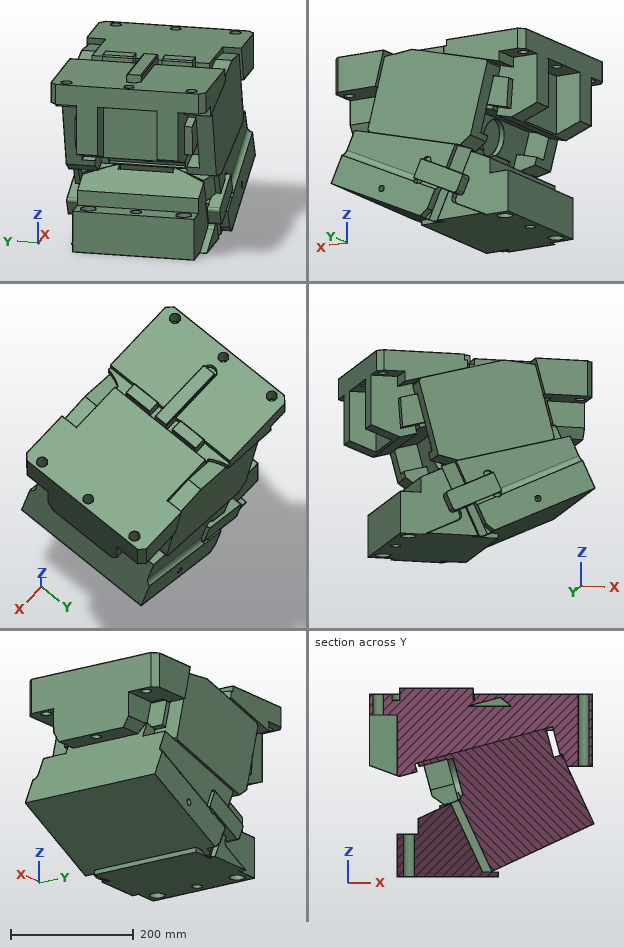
import cadquery as cq
import math


RAIL_ANGLE = 15
WORK_ANGLE = 25

PLATE_LENGTH = 365.0
PLATE_WIDTH = 260.0
PLATE_HALF_WIDTH = PLATE_WIDTH / 2
PLATE_TOP = 299.0
PLATE_CORNER = 10.0
THIN_BOTTOM = 265.0
THICK_BOTTOM = 240.0
SEAT_X = 45.2
POCKET_X = 151.5
POCKET_BEND_X = 156.5
POCKET_BEND_Y = 112.5
POCKET_CURVE = 12.0
PLATE_HOLE_RADIUS = 9.0
PLATE_DOWEL_RADIUS = 8.5
LEFT_HOLES_X = 14.5
LEFT_HOLES_Y = 105.2
RIGHT_HOLES_X = 350.5
RIGHT_HOLES_Y = 100.5

LEG_HALF_WIDTH = 85.5
LEG_RECESS_HALF_WIDTH = 50.0
LEFT_LEG_EDGE = 182.0
LEFT_LEG_TIP_X = 49.3
LEFT_LEG_END = 120.0
LEFT_LEG_BOTTOM = 145.5
RIGHT_LEG_START = 353.0
RIGHT_LEG_KNEE = 200.5
RIGHT_LEG_BOTTOM = 180.5
RIGHT_LEG_HALF_WIDTH = 75.0
RIGHT_LEG_CHAMFER = (10.3, 17.5)

LEDGE_LEVEL = 82.5
FOOT_TOP = 111.0
RAIL_BOTTOM = 159.3
RAIL_TOP = 208.0
NECK_TOP = 279.2
SIDE_PLATE_TOP = 228.0
RAIL_HALF_WIDTH = 98.5
RAIL_END_TOP_X = 46.5
RAIL_END_BOTTOM_X = 50.0

KEY_HEIGHT = 10.0
KEY_WIDTH = 25.0
KEY_CHAMFER = (1.0, 3.0)
GROOVE_X = 146.8
CROSS_KEY_WIDTH = 22.8
CROSS_KEY_INNER_Y = 24.5
CROSS_KEY_LENGTH = 50.8
CENTRE_KEY_START = 49.5
CENTRE_KEY_END = 170.0

SLIDE_START = 133.0
SIDE_PLATE_END = 333.3
POCKET_END = 335.5
CORE_START = 173.0
BLOCK_END = 342.0
SIDE_PLATE_PEAK = 283.2
SIDE_PLATE_END_TOP = 209.5
FRONT_FOOT_CHAMFER = (30.0, 15.5)
BACK_FOOT_CHAMFER = (15.5, 18.5)
SIDE_PLATE_CORNER = 3.3
SIDE_PLATE_HALF_WIDTH = 126.0
NECK_HALF_WIDTH = 77.2
CREST_RECESS_TOP = 95.3
CREST_RECESS_BACK = 189.8
CREST_RECESS_HALF_WIDTH = 64.0
SPRING_RADIUS = 31.3
SPRING_LEVEL = 120.3
SPRING_DEPTH = 9.5
STRIP_REACH = 8.0
STRIP_THICKNESS = 6.3
STRIP_HALF_WIDTH = 92.0

WORK_FACE = 370.0
SLIDE_BOTTOM = -77.0
EAR_FACE = 173.3
EAR_INNER_Y = 114.0
TIP_HEIGHT = 1.0
EAR_CHAMFER = (8.5, 15.5)
UPPER_HALF_WIDTH = 122.0
STEP_TOP = -16.5
STEP_ROUND = 11.0
SIDE_HOLE_CENTRE = (273.0, -56.3)
SIDE_HOLE_RADIUS = 5.0
SIDE_HOLE_DEPTH = 18.5

BAR_START = 132.5
BAR_END = 221.8
BAR_BOTTOM = -21.7
BAR_TOP = 12.0
BAR_INNER_Y = 107.8
BAR_OUTER_Y = 128.7
BAR_ROUND = 5.5
RELIEF_RADIUS = 7.5
RELIEF_X = 213.7
RELIEF_DEPTH = 13.0

V_EDGE = 152.5
V_CREST = 185.5
V_CREST_HALF_WIDTH = 46.0
V_SLOT_FLOOR = 171.5
DRIVER_HALF_WIDTH = 102.0
DRIVER_START = 45.2
DRIVER_END = 211.0
STEP_HEIGHT = 70.0
RISER_X = 80.0
DRIVER_SLOPE = 52.5
FLANGE_HALF_WIDTH = 113.5
FLANGE_TOP = -36.8
FLANGE_STEP = 147.0
FLANGE_STEP_TOP = -22.0
FLANGE_EDGE = 157.8
FLANGE_TIP = 162.0
TOE_HEIGHT = 8.0
FLANGE_ROUND = 8.5
DRIVER_HOLES_X = 64.7
DRIVER_HOLES_Y = 80.2
DRIVER_HOLE_RADIUS = 13.0
DRIVER_DOWEL_RADIUS = 9.0

FAR = 551.8


def turned(along, across, angle):
    """The (x, z) of a point given along and across a direction rising at the angle."""
    a = math.radians(angle)
    return (along * math.cos(a) - across * math.sin(a), along * math.sin(a) + across * math.cos(a))


def on_rail(along, across):
    return turned(along, across, RAIL_ANGLE)


def on_work(along, across):
    return turned(along, across, WORK_ANGLE)


def line_z(across, angle, x):
    """Height at x of the line that rises at the angle, at a fixed level across it."""
    a = math.radians(angle)
    return across / math.cos(a) + x * math.tan(a)


def square_line_x(along, angle, z):
    """The x at height z of the line square to a direction rising at the angle."""
    a = math.radians(angle)
    return along / math.cos(a) - z * math.tan(a)


def profile(points, y_from, y_to):
    """An (x, z) outline extruded from one y to another."""
    outline = cq.Workplane("XZ", origin=(0, y_from, 0)).polyline(points).close()
    return outline.extrude(y_from - y_to)


def centred(points, half_width):
    return profile(points, -half_width, half_width)


def both_sides(solid):
    return solid.union(solid.mirror("XZ"))


def rail_rectangle(start, end, low, high):
    return [on_rail(start, low), on_rail(end, low), on_rail(end, high), on_rail(start, high)]


def work_rectangle(start, end, low, high):
    return [on_work(start, low), on_work(end, low), on_work(end, high), on_work(start, high)]


def below(height, half_width):
    """Everything under a height, as far as a half width."""
    return centred([(0, -FAR), (FAR, -FAR), (FAR, height), (0, height)], half_width)


def upright_holes(x, y_places, radius):
    return cq.Workplane("XY").pushPoints([(x, y) for y in y_places]).circle(radius).extrude(FAR)


def v_plane(level):
    """Plane square to the sliding direction on the V, at a level across the working direction."""
    a = math.radians(WORK_ANGLE)
    x, z = on_work(0, level)
    return cq.Plane(
        origin=(x, 0, z),
        xDir=(math.cos(a), 0, math.sin(a)),
        normal=(-math.sin(a), 0, math.cos(a)),
    )


def end_plane(along, across, angle):
    """Plane square to a direction rising at the angle, through a point on Y = 0."""
    a = math.radians(angle)
    x, z = turned(along, across, angle)
    return cq.Plane(origin=(x, 0, z), xDir=(0, 1, 0), normal=(math.cos(a), 0, math.sin(a)))


def seat_bevel_y(along):
    """Half width of the bevel that runs from the V of the slide out to its ears."""
    share = (along - V_EDGE) / (EAR_FACE - V_EDGE)
    return DRIVER_HALF_WIDTH + share * (EAR_INNER_Y - DRIVER_HALF_WIDTH)




def adaptor_plate():
    outline = [
        (0, PLATE_TOP),
        (0, THIN_BOTTOM),
        (SEAT_X, THIN_BOTTOM),
        (SEAT_X, line_z(SIDE_PLATE_TOP, RAIL_ANGLE, SEAT_X)),
        on_rail(SIDE_PLATE_PEAK, SIDE_PLATE_TOP),
        on_rail(POCKET_END, SIDE_PLATE_END_TOP),
        (square_line_x(POCKET_END, RAIL_ANGLE, THICK_BOTTOM), THICK_BOTTOM),
        (PLATE_LENGTH, THICK_BOTTOM),
        (PLATE_LENGTH, PLATE_TOP),
    ]
    plate = centred(outline, PLATE_HALF_WIDTH)
    for x in (0, PLATE_LENGTH):
        corners = cq.selectors.BoxSelector((x - PLATE_CORNER, -FAR, 0), (x + PLATE_CORNER, FAR, FAR))
        plate = plate.edges("|Z").edges(corners).edges(">Y or <Y").chamfer(PLATE_CORNER)
    return plate


def side_pockets():
    """Open pockets above the side plates, with a curved left end."""
    top_end = square_line_x(POCKET_END, RAIL_ANGLE, PLATE_TOP)
    bottom_end = square_line_x(POCKET_END, RAIL_ANGLE, THICK_BOTTOM)
    inner_x = POCKET_X + POCKET_CURVE
    plan = (
        cq.Workplane("XY")
        .moveTo(POCKET_X, PLATE_HALF_WIDTH)
        .threePointArc((POCKET_BEND_X, POCKET_BEND_Y), (inner_x, RAIL_HALF_WIDTH))
        .lineTo(bottom_end, RAIL_HALF_WIDTH)
        .lineTo(bottom_end, PLATE_HALF_WIDTH)
        .close()
        .extrude(FAR)
    )
    end_limit = [
        (0, THICK_BOTTOM),
        (bottom_end, THICK_BOTTOM),
        (top_end, PLATE_TOP),
        (0, PLATE_TOP),
    ]
    return both_sides(plan.intersect(centred(end_limit, PLATE_HALF_WIDTH)))


def adaptor_rail():
    """T-shaped rail under the plate: a neck and a wider flange."""
    neck = [
        (SEAT_X, NECK_TOP),
        (SEAT_X, line_z(RAIL_TOP, RAIL_ANGLE, SEAT_X)),
        on_rail(POCKET_END, RAIL_TOP),
        on_rail(POCKET_END, SIDE_PLATE_END_TOP),
        on_rail(SIDE_PLATE_PEAK, SIDE_PLATE_TOP),
        (square_line_x(SIDE_PLATE_PEAK, RAIL_ANGLE, SIDE_PLATE_TOP), NECK_TOP),
    ]
    flange = [
        (RAIL_END_TOP_X, line_z(RAIL_TOP, RAIL_ANGLE, RAIL_END_TOP_X)),
        (RAIL_END_BOTTOM_X, line_z(RAIL_BOTTOM, RAIL_ANGLE, RAIL_END_BOTTOM_X)),
        on_rail(RIGHT_LEG_START, RAIL_BOTTOM),
        on_rail(RIGHT_LEG_START, RAIL_TOP),
    ]
    return centred(neck, LEG_HALF_WIDTH).union(centred(flange, RAIL_HALF_WIDTH))


def left_leg():
    outline = [
        (0, THIN_BOTTOM),
        (0, LEFT_LEG_EDGE),
        (LEFT_LEG_TIP_X, line_z(LEFT_LEG_BOTTOM, RAIL_ANGLE, LEFT_LEG_TIP_X)),
        on_rail(LEFT_LEG_END, LEFT_LEG_BOTTOM),
        on_rail(LEFT_LEG_END, SIDE_PLATE_TOP),
        (SEAT_X, THIN_BOTTOM),
    ]
    recess = [(0, 0), (SEAT_X, 0), (SEAT_X, THIN_BOTTOM), (0, THIN_BOTTOM)]
    return centred(outline, LEG_HALF_WIDTH).cut(centred(recess, LEG_RECESS_HALF_WIDTH))


def right_leg():
    """Leg that clears the working face, with bevelled lower side edges."""
    outline = [
        (square_line_x(RIGHT_LEG_START, RAIL_ANGLE, THICK_BOTTOM), THICK_BOTTOM),
        (square_line_x(RIGHT_LEG_START, RAIL_ANGLE, RIGHT_LEG_KNEE), RIGHT_LEG_KNEE),
        (square_line_x(WORK_FACE, WORK_ANGLE, RIGHT_LEG_KNEE), RIGHT_LEG_KNEE),
        (square_line_x(WORK_FACE, WORK_ANGLE, RIGHT_LEG_BOTTOM), RIGHT_LEG_BOTTOM),
        (PLATE_LENGTH, RIGHT_LEG_BOTTOM),
        (PLATE_LENGTH, THICK_BOTTOM),
    ]
    leg = centred(outline, RIGHT_LEG_HALF_WIDTH)
    return leg.faces("<Z").edges("|X").chamfer(*RIGHT_LEG_CHAMFER)


def block_space():
    """Room under the plate for the block of the slide."""
    space = rail_rectangle(SLIDE_START, RIGHT_LEG_START, FOOT_TOP, RAIL_BOTTOM)
    return centred(space, RAIL_HALF_WIDTH)




def key(length, width):
    """A key along X, centred on the origin, standing half above Z = 0."""
    across, down = KEY_CHAMFER
    half = width / 2
    return (
        cq.Workplane("YZ", origin=(-length / 2, 0, 0))
        .polyline([
            (-half, -KEY_HEIGHT),
            (half, -KEY_HEIGHT),
            (half, KEY_HEIGHT - down),
            (half - across, KEY_HEIGHT),
            (-half + across, KEY_HEIGHT),
            (-half, KEY_HEIGHT - down),
        ])
        .close()
        .extrude(length)
    )


def cross_groove():
    size = (KEY_WIDTH, 2 * PLATE_HALF_WIDTH, 2 * KEY_HEIGHT)
    return cq.Workplane("XY").box(*size).translate((GROOVE_X + KEY_WIDTH / 2, 0, PLATE_TOP))


def centre_keyway_end():
    """Round end of the keyway, left open beyond the key."""
    end = cq.Workplane("XY", origin=(CENTRE_KEY_START, 0, PLATE_TOP - KEY_HEIGHT))
    return end.circle(KEY_WIDTH / 2).extrude(KEY_HEIGHT)


def keys():
    centre_length = CENTRE_KEY_END - CENTRE_KEY_START
    centre_x = (CENTRE_KEY_START + CENTRE_KEY_END) / 2
    all_keys = key(centre_length, KEY_WIDTH).translate((centre_x, 0, PLATE_TOP))
    cross_key = key(CROSS_KEY_LENGTH, CROSS_KEY_WIDTH).rotate((0, 0, 0), (0, 0, 1), 90)
    cross_y = CROSS_KEY_INNER_Y + CROSS_KEY_LENGTH / 2
    for side in (-1, 1):
        all_keys = all_keys.union(
            cross_key.translate((GROOVE_X + KEY_WIDTH / 2, side * cross_y, PLATE_TOP))
        )
    return all_keys


def make_adaptor():
    body = adaptor_plate().union(adaptor_rail()).union(left_leg()).union(right_leg())
    body = body.cut(block_space()).cut(side_pockets()).cut(cross_groove()).cut(centre_keyway_end())
    body = body.union(keys())
    for x, y in ((LEFT_HOLES_X, LEFT_HOLES_Y), (RIGHT_HOLES_X, RIGHT_HOLES_Y)):
        body = body.cut(upright_holes(x, (-y, y), PLATE_HOLE_RADIUS))
        body = body.cut(upright_holes(x, (0,), PLATE_DOWEL_RADIUS))
    return body



def slide_base():
    """Lower block with the V-shaped seat, cut off by the sloping ledge."""
    half_section = [
        (WORK_FACE, 0),
        (WORK_FACE, PLATE_HALF_WIDTH),
        (EAR_FACE, PLATE_HALF_WIDTH),
        (EAR_FACE, EAR_INNER_Y),
        (V_EDGE, DRIVER_HALF_WIDTH),
        (V_CREST, V_CREST_HALF_WIDTH),
        (V_CREST, 0),
    ]
    half = cq.Workplane(v_plane(SLIDE_BOTTOM)).polyline(half_section).close().extrude(FAR)
    ledge_limit = rail_rectangle(-FAR, FAR, -FAR, LEDGE_LEVEL)
    base = both_sides(half).intersect(centred(ledge_limit, PLATE_HALF_WIDTH))
    base = base.cut(below(TOE_HEIGHT, DRIVER_HALF_WIDTH))
    return base.cut(below(TIP_HEIGHT, EAR_INNER_Y))


def side_step():
    """Material taken off the upper sides, with a concave round along the lower edge."""
    depth = PLATE_HALF_WIDTH - UPPER_HALF_WIDTH
    sweep = math.acos(1 - depth / STEP_ROUND)

    def on_round(angle):
        y = UPPER_HALF_WIDTH + STEP_ROUND * (1 - math.cos(angle))
        return (y, STEP_TOP - STEP_ROUND * math.sin(angle))

    section = (
        cq.Workplane(end_plane(0, 0, WORK_ANGLE))
        .moveTo(PLATE_HALF_WIDTH, FAR)
        .lineTo(UPPER_HALF_WIDTH, FAR)
        .lineTo(UPPER_HALF_WIDTH, STEP_TOP)
        .threePointArc(on_round(sweep / 2), on_round(sweep))
        .close()
    )
    return both_sides(section.extrude(FAR))


def ear_chamfers():
    along, up = EAR_CHAMFER
    corner = [
        on_work(EAR_FACE, SLIDE_BOTTOM),
        on_work(EAR_FACE + along, SLIDE_BOTTOM),
        on_work(EAR_FACE, SLIDE_BOTTOM + up),
    ]
    return both_sides(profile(corner, EAR_INNER_Y, PLATE_HALF_WIDTH))


def slide_core():
    """Neck and wider block between the base and the rail."""
    neck = centred(rail_rectangle(CORE_START, FAR, LEDGE_LEVEL, FOOT_TOP), NECK_HALF_WIDTH)
    work_limit = centred(work_rectangle(0, WORK_FACE, -FAR, FAR), NECK_HALF_WIDTH)
    block = rail_rectangle(CORE_START, BLOCK_END, FOOT_TOP, RAIL_BOTTOM)
    return neck.intersect(work_limit).union(centred(block, RAIL_HALF_WIDTH))


def crest_recess():
    """Space in the slide above the crest of the driver."""
    below_ceiling = centred(rail_rectangle(0, FAR, -FAR, CREST_RECESS_TOP), CREST_RECESS_HALF_WIDTH)
    before_back = work_rectangle(0, CREST_RECESS_BACK, DRIVER_SLOPE, FAR)
    return below_ceiling.intersect(centred(before_back, CREST_RECESS_HALF_WIDTH))


def side_plate(foot_chamfer):
    """Plate at +Y beside the rail, with a lip above its flange and a foot below the block."""
    along, across = foot_chamfer
    outline = [
        on_rail(SLIDE_START, SIDE_PLATE_TOP - SIDE_PLATE_CORNER),
        on_rail(SLIDE_START + SIDE_PLATE_CORNER, SIDE_PLATE_TOP),
        on_rail(SIDE_PLATE_PEAK, SIDE_PLATE_TOP),
        on_rail(SIDE_PLATE_END, SIDE_PLATE_END_TOP),
        on_rail(SIDE_PLATE_END, LEDGE_LEVEL + SIDE_PLATE_CORNER),
        on_rail(SIDE_PLATE_END - SIDE_PLATE_CORNER, LEDGE_LEVEL),
        on_rail(SLIDE_START + along, LEDGE_LEVEL),
        on_rail(SLIDE_START, LEDGE_LEVEL + across),
    ]
    main = profile(outline, RAIL_HALF_WIDTH, SIDE_PLATE_HALF_WIDTH)
    lip_range = rail_rectangle(0, FAR, RAIL_TOP, FAR)
    lip = profile(outline, LEG_HALF_WIDTH, RAIL_HALF_WIDTH).intersect(
        centred(lip_range, RAIL_HALF_WIDTH)
    )
    foot_range = rail_rectangle(0, FAR, LEDGE_LEVEL, FOOT_TOP)
    foot = profile(outline, NECK_HALF_WIDTH, RAIL_HALF_WIDTH).intersect(
        centred(foot_range, RAIL_HALF_WIDTH)
    )
    return main.union(lip).union(foot)


def side_plates():
    return side_plate(BACK_FOOT_CHAMFER).union(side_plate(FRONT_FOOT_CHAMFER).mirror("XZ"))


def spring_recess():
    end_face = end_plane(CORE_START, SPRING_LEVEL, RAIL_ANGLE)
    return cq.Workplane(end_face).circle(SPRING_RADIUS).extrude(SPRING_DEPTH)


def wear_strip():
    strip = rail_rectangle(
        SLIDE_START - STRIP_REACH, CORE_START, RAIL_BOTTOM - STRIP_THICKNESS, RAIL_BOTTOM
    )
    return centred(strip, STRIP_HALF_WIDTH)


def return_bars():
    bar = profile(work_rectangle(BAR_START, BAR_END, BAR_BOTTOM, BAR_TOP), BAR_INNER_Y, BAR_OUTER_Y)
    return both_sides(bar.edges("|Y").edges("<X or <Z").fillet(BAR_ROUND))


def side_bore(centre, radius, depth):
    """Round recess from both sides of the slide."""
    x, z = on_work(*centre)
    bore = cq.Workplane("XZ", origin=(x, PLATE_HALF_WIDTH - depth, z)).circle(radius).extrude(-depth)
    return both_sides(bore)


def make_slide():
    body = slide_base().cut(side_step()).cut(ear_chamfers())
    body = body.union(slide_core()).union(side_plates())
    body = body.cut(crest_recess()).cut(spring_recess()).union(wear_strip())
    for level in (BAR_BOTTOM, BAR_TOP):
        body = body.cut(side_bore((RELIEF_X, level), RELIEF_RADIUS, RELIEF_DEPTH))
    body = body.cut(side_bore(SIDE_HOLE_CENTRE, SIDE_HOLE_RADIUS, SIDE_HOLE_DEPTH))
    return body.union(return_bars()).cut(driver_block())



def driver_block():
    """Stepped block whose right end is the V-shaped ridge."""
    outline = [
        (DRIVER_START, 0),
        (DRIVER_START, STEP_HEIGHT),
        (RISER_X, STEP_HEIGHT),
        (RISER_X, line_z(DRIVER_SLOPE, WORK_ANGLE, RISER_X)),
        on_work(FAR, DRIVER_SLOPE),
        (FAR, 0),
    ]
    half_ridge = [
        (0, 0),
        (0, DRIVER_HALF_WIDTH),
        (V_EDGE, DRIVER_HALF_WIDTH),
        (V_CREST, V_CREST_HALF_WIDTH),
        (V_SLOT_FLOOR, V_CREST_HALF_WIDTH),
        (V_SLOT_FLOOR, 0),
    ]
    half = cq.Workplane(v_plane(-FAR)).polyline(half_ridge).close().extrude(2 * FAR)
    return centred(outline, DRIVER_HALF_WIDTH).intersect(both_sides(half))


def driver_flanges():
    """Low side flanges that step up behind the return bars."""
    start_x = -FLANGE_TOP / math.sin(math.radians(WORK_ANGLE))
    outline = [
        (start_x, 0),
        on_work(FLANGE_STEP, FLANGE_TOP),
        on_work(FLANGE_STEP, FLANGE_STEP_TOP),
        on_work(FAR, FLANGE_STEP_TOP),
        (FAR, 0),
    ]
    corner_x, corner_z = on_work(FLANGE_STEP, FLANGE_TOP)
    corner = cq.selectors.NearestToPointSelector((corner_x, 0, corner_z))
    low_shape = centred(outline, FLANGE_HALF_WIDTH).edges("|Y").edges(corner).fillet(FLANGE_ROUND)
    section = [
        (0, DRIVER_HALF_WIDTH),
        (V_EDGE, DRIVER_HALF_WIDTH),
        (FLANGE_TIP, seat_bevel_y(FLANGE_TIP)),
        (FLANGE_EDGE, FLANGE_HALF_WIDTH),
        (0, FLANGE_HALF_WIDTH),
    ]
    half = cq.Workplane(v_plane(-FAR)).polyline(section).close().extrude(2 * FAR)
    riser = work_rectangle(FLANGE_STEP, FLANGE_EDGE, FLANGE_TOP, BAR_TOP)
    return both_sides(half).intersect(low_shape.union(centred(riser, BAR_INNER_Y)))


def driver_toe():
    """Flat toe under the slide."""
    toe = [(RISER_X, 0), (DRIVER_END, 0), (DRIVER_END, TOE_HEIGHT), (RISER_X, TOE_HEIGHT)]
    return centred(toe, DRIVER_HALF_WIDTH)


def make_driver():
    body = driver_block().union(driver_flanges()).union(driver_toe())
    body = body.cut(upright_holes(DRIVER_HOLES_X, (-DRIVER_HOLES_Y, DRIVER_HOLES_Y), DRIVER_HOLE_RADIUS))
    return body.cut(upright_holes(DRIVER_HOLES_X, (0,), DRIVER_DOWEL_RADIUS))


adaptor = make_adaptor()
slide = make_slide()
driver = make_driver()

result = cq.Compound.makeCompound([adaptor.val(), slide.val(), driver.val()])